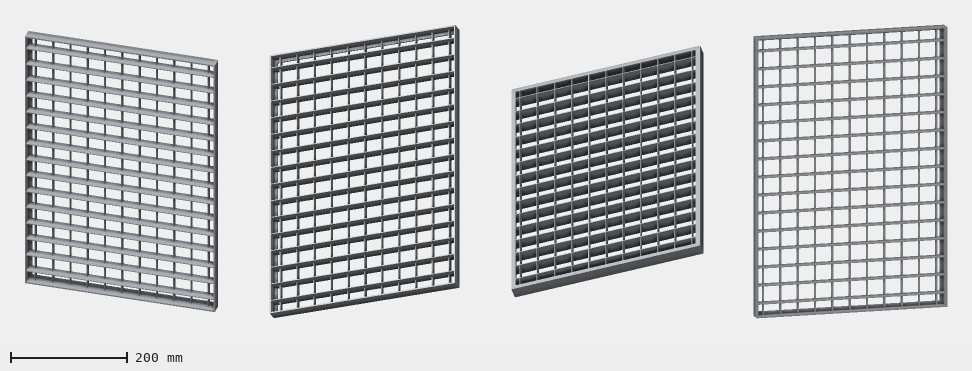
import cadquery as cq

WIDTH = 340.0
DEPTH = 20.0
HEIGHT = 490.0

SHEET = 2.5
FLANGE_REACH = 8.0

UPRIGHT_COUNT = 11
UPRIGHT_SPAN = 309.5
UPRIGHT_THICKNESS = 1.0
UPRIGHT_DEPTH = 10.5

CROSSBAR_COUNT = 15
CROSSBAR_SPAN = 441.5
CROSSBAR_THICKNESS = 1.5

INNER_WIDTH = WIDTH - 2 * SHEET
INNER_HEIGHT = HEIGHT - 2 * SHEET


def rear_box(width, depth, height):
    """Box centred on X and Z, with its back face on the back of the part."""
    return cq.Workplane("XY").box(width, depth, height).translate((0, (DEPTH - depth) / 2, 0))


def rear_ring(depth, border):
    """Rectangular ring, flush with the back and inside the outer outline."""
    outer = rear_box(WIDTH, depth, HEIGHT)
    opening = rear_box(WIDTH - 2 * border, depth, HEIGHT - 2 * border)
    return outer.cut(opening)


def spaced_places(count, span):
    """Evenly spaced positions, symmetric about zero."""
    pitch = span / (count - 1)
    return [i * pitch - span / 2 for i in range(count)]


def make_frame():
    wall = rear_ring(DEPTH, SHEET)
    flange = rear_ring(SHEET, FLANGE_REACH)
    return wall.union(flange)


def make_uprights():
    upright = rear_box(UPRIGHT_THICKNESS, UPRIGHT_DEPTH, INNER_HEIGHT)
    return [upright.translate((x, 0, 0)) for x in spaced_places(UPRIGHT_COUNT, UPRIGHT_SPAN)]


def make_crossbars():
    crossbar = rear_box(INNER_WIDTH, DEPTH, CROSSBAR_THICKNESS)
    return [crossbar.translate((0, 0, z)) for z in spaced_places(CROSSBAR_COUNT, CROSSBAR_SPAN)]


bars = [bar.val() for bar in make_uprights() + make_crossbars()]
grating = make_frame().val().fuse(*bars).clean()
result = cq.Workplane(grating.Solids()[0])